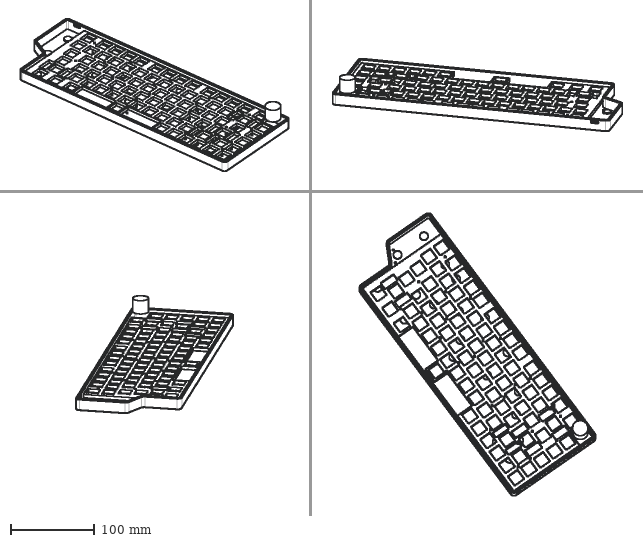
import cadquery as cq
LENGTH = 346.0
DEPTH = 124.5
CASE_HEIGHT = 15.0
WALL = 3.0
FLOOR = 1.0
EDGE_CHAMFER = 1.0
CORNER_RADIUS = 5.0
LEFT_X = -LENGTH / 2
RIGHT_X = LENGTH / 2
BACK_Y = DEPTH / 2
FRONT_Y = -DEPTH / 2
STEP_X = -146.8
WING_FRONT_Y = -1.5
STEP_Y = -15.2

PORT_X = -155.0
PORT_Z = 11.0
PORT_WIDTH = 9.7
PORT_HEIGHT = 3.5

PITCH = 19.0
SWITCH_SIZE = 14.2
GRID_LEFT_X = -138.0
GRID_BACK_Y = 58.5
GAP = -0.25
KEY_ROWS = [
    [1, GAP, 1, 1, 1, 1, GAP, 1, 1, 1, 1, GAP, 1, 1, 1, 1, GAP, 1],
    [1] * 13 + [2, 1],
    [1.5] + [1] * 12 + [1.5, 1],
    [1.75] + [1] * 11 + [2.25, 1],
    [2.25] + [1] * 10 + [1.75, 1, 1],
    [1.25] * 3 + [6.25] + [1] * 6,
]
KNOB_COLUMN = 15
SPACE_ROW = 5
SPACE_KEY = 3

PLATE_GAP = 1.0
PLATE_TOP = 10.5
PLATE_THICKNESS = 4.0
PLATE_BOTTOM = PLATE_TOP - PLATE_THICKNESS
PLATE_LEFT_X = -143.0
PLATE_RIGHT_X = RIGHT_X - WALL - PLATE_GAP
PLATE_BACK_Y = BACK_Y - WALL - PLATE_GAP
PLATE_FRONT_Y = -PLATE_BACK_Y
SPACE_NOTCH_LEFT_X = -69.0
SPACE_NOTCH_RIGHT_X = 53.0
TAB_SETBACK = 2.5

SLOT_INNER = PITCH / 2
SLOT_OUTER = PITCH - 0.17
SHORT_SLOT_OUTER = 17.0
STABILIZED_KEYS = [
    (1, 13, SLOT_OUTER),
    (3, 12, SLOT_OUTER),
    (4, 0, SLOT_OUTER),
    (4, 11, SHORT_SLOT_OUTER),
]

KNOB_DIAMETER = 19.0
KNOB_BOTTOM = 15.2
KNOB_TOP = 32.2

PLATE_HOLE = 2.2
FLOOR_HOLE = 1.9
BOSS_DIAMETER = 10.0
BOSS_TOP = 2.8
CUT_MARGIN = 3.5
PLATE_HOLES = [
    (-116.5, 45.5), (-57.0, 40.0), (5.0, 40.0), (66.0, 40.0), (126.0, 42.0),
    (-81.0, 20.5), (-5.0, 21.0), (62.0, 20.5), (147.5, 20.5),
    (-110.0, 1.5), (-53.0, 1.7), (5.0, 1.5), (66.8, 0.7), (121.5, 3.5),
    (-76.5, -18.5), (-38.0, -18.5), (0.0, -18.5), (67.0, -17.3), (147.0, -18.5),
    (-95.2, -36.0), (0.5, -36.5), (90.5, -36.5), (147.5, -36.5),
]
WING_HOLES = [(-162.5, 1.5), (-147.8, -6.0)]
BOSSES = [
    (-154.5, 41.2), (-110.5, 41.2), (-88.3, 41.2), (-28.7, 41.2), (22.0, 38.0), (106.3, 41.2),
    (-53.5, 20.5), (70.0, 20.5), (121.0, 20.5),
    (-154.0, 1.7), (-78.2, 1.0), (-23.5, 1.0), (31.5, 1.0), (91.5, 1.0),
    (-100.5, -9.5), (-11.5, -18.5), (119.5, -15.0),
    (-134.5, -42.0), (-83.5, -38.8), (105.5, -37.7), (131.5, -37.7),
]


def column_x(column):
    return GRID_LEFT_X + column * PITCH


def row_y(row):
    return GRID_BACK_Y - (row + 0.5) * PITCH


def key_centers(row):
    """Centres of the keys in one row, from left to right."""
    centers = []
    column = 0
    for width in KEY_ROWS[row]:
        if width > 0:
            centers.append((column_x(column + width / 2), row_y(row)))
        column += abs(width)
    return centers


def block(x0, x1, y0, y1, z0, z1):
    box = cq.Workplane("XY").box(x1 - x0, y1 - y0, z1 - z0, centered=False)
    return box.translate((x0, y0, z0))


def cylinders(points, diameter, z0, z1):
    base = cq.Workplane("XY", origin=(0, 0, z0)).pushPoints(points)
    return base.circle(diameter / 2).extrude(z1 - z0)


def plate_cutter(x0, x1, y0, y1):
    """Block that cuts through the full thickness of the plate."""
    return block(x0, x1, y0, y1, PLATE_BOTTOM - CUT_MARGIN, PLATE_TOP + CUT_MARGIN)


def make_case():
    """Open tray with a wing at the left, low floor bosses, screw holes and a cable port."""
    outline = [
        (LEFT_X, BACK_Y),
        (RIGHT_X, BACK_Y),
        (RIGHT_X, FRONT_Y),
        (STEP_X, FRONT_Y),
        (STEP_X, STEP_Y),
        (LEFT_X, WING_FRONT_Y),
    ]
    shell = cq.Workplane("XY").polyline(outline).close().extrude(CASE_HEIGHT)
    shell = shell.edges("|Z").fillet(CORNER_RADIUS)

    pocket_wire = shell.faces("<Z").wires().val().offset2D(-WALL)[0]
    pocket = cq.Solid.extrudeLinear(pocket_wire, [], cq.Vector(0, 0, CASE_HEIGHT))
    case = shell.cut(cq.Workplane(pocket).translate((0, 0, FLOOR)))
    case = case.faces("<Z or >Z").chamfer(EDGE_CHAMFER)

    case = case.union(cylinders(BOSSES, BOSS_DIAMETER, FLOOR / 2, BOSS_TOP))

    port_plane = cq.Workplane("XZ", origin=(PORT_X, BACK_Y + CUT_MARGIN, PORT_Z))
    port = port_plane.slot2D(PORT_WIDTH, PORT_HEIGHT).extrude(WALL + 2 * CUT_MARGIN)
    case = case.cut(port)

    floor_holes = cylinders(PLATE_HOLES + WING_HOLES, FLOOR_HOLE, -CUT_MARGIN, BOSS_TOP + CUT_MARGIN)
    return case.cut(floor_holes)


def cut_space_notches(plate):
    """Open notches on both sides of the space key, leaving a tab around its switch."""
    space_x, space_y = key_centers(SPACE_ROW)[SPACE_KEY]
    notch_back_y = space_y + PITCH / 2
    tab_left_x = space_x - PITCH / 2
    tab_right_x = space_x + PITCH / 2
    tab_front_y = PLATE_FRONT_Y + TAB_SETBACK
    plate = plate.cut(plate_cutter(SPACE_NOTCH_LEFT_X, tab_left_x, FRONT_Y, notch_back_y))
    plate = plate.cut(plate_cutter(tab_right_x, SPACE_NOTCH_RIGHT_X, FRONT_Y, notch_back_y))
    return plate.cut(plate_cutter(SPACE_NOTCH_LEFT_X, SPACE_NOTCH_RIGHT_X, FRONT_Y, tab_front_y))


def cut_switch_openings(plate):
    depth = PLATE_THICKNESS + 2 * CUT_MARGIN
    for row in range(len(KEY_ROWS)):
        base = cq.Workplane("XY", origin=(0, 0, PLATE_BOTTOM - CUT_MARGIN))
        openings = base.pushPoints(key_centers(row)).rect(SWITCH_SIZE, SWITCH_SIZE).extrude(depth)
        plate = plate.cut(openings)
    return plate


def cut_stabilizer_slots(plate):
    for row, key, outer in STABILIZED_KEYS:
        x, y = key_centers(row)[key]
        for start, end in ((-outer, -SLOT_INNER), (SLOT_INNER, outer)):
            plate = plate.cut(plate_cutter(x + start, x + end, y - PITCH / 2, y + PITCH / 2))
    return plate


def make_plate():
    """Switch plate with a corner notch for the knob."""
    plate = block(PLATE_LEFT_X, PLATE_RIGHT_X, PLATE_FRONT_Y, PLATE_BACK_Y, PLATE_BOTTOM, PLATE_TOP)
    plate = plate.cut(plate_cutter(column_x(KNOB_COLUMN), RIGHT_X, row_y(0) - PITCH / 2, BACK_Y))
    plate = cut_space_notches(plate)
    plate = cut_switch_openings(plate)
    plate = cut_stabilizer_slots(plate)
    return plate.cut(cylinders(PLATE_HOLES, PLATE_HOLE, PLATE_BOTTOM - CUT_MARGIN, PLATE_TOP + CUT_MARGIN))


def make_knob():
    center = (column_x(KNOB_COLUMN + 0.5), row_y(0))
    return cylinders([center], KNOB_DIAMETER, KNOB_BOTTOM, KNOB_TOP)


case = make_case()
plate = make_plate()
knob = make_knob()
result = cq.Compound.makeCompound([case.val(), plate.val(), knob.val()])